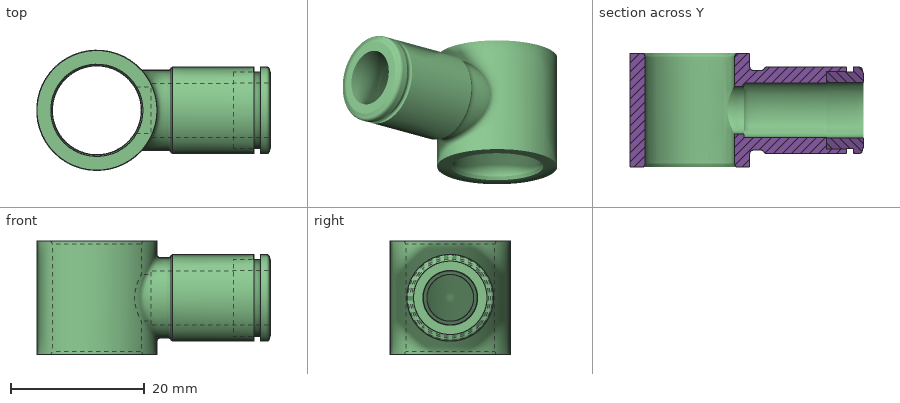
import cadquery as cq

ring_diameter = 18.0
ring_height = 17.0
ring_bore_diameter = 13.3
ring_chamfer_width = 0.25
ring_chamfer_depth = 0.5

overall_length = 35.0
arm_end = overall_length - ring_diameter / 2
neck_diameter = 12.0
neck_fillet = 0.5
socket_diameter = 13.0
shoulder_start = 10.65
shoulder_arc_length = 0.5
shoulder_arc_rise = 0.3
socket_start = 11.35
socket_end = 23.5
passage_diameter = 7.0
tube_bore_diameter = 8.1
tube_stop = 8.12

button_stem_diameter = 11.5
button_bore_diameter = 8.2
button_seat_depth = 3.0
button_gap = 0.98
rim_round_length = 0.5
rim_face_length = 0.18
rim_edge_diameter = 12.0
end_face_diameter = 11.0
flange_start = socket_end + button_gap
seat_floor = socket_end - button_seat_depth


def x_cylinder(diameter, start, end):
    """Cylinder on the X axis between two stations."""
    return cq.Workplane("YZ", origin=(start, 0, 0)).circle(diameter / 2).extrude(end - start)


def make_arm():
    """Neck with a hollow, chamfered shoulder rising to the larger socket."""
    neck_radius = neck_diameter / 2
    socket_radius = socket_diameter / 2
    shoulder_arc_end = (shoulder_start + shoulder_arc_length, neck_radius + shoulder_arc_rise)
    return (
        cq.Workplane("XY")
        .moveTo(0, 0)
        .lineTo(0, neck_radius)
        .lineTo(shoulder_start, neck_radius)
        .tangentArcPoint(shoulder_arc_end, relative=False)
        .lineTo(socket_start, socket_radius)
        .lineTo(socket_end, socket_radius)
        .lineTo(socket_end, 0)
        .close()
        .revolve(360, (0, 0, 0), (1, 0, 0))
    )


def make_housing():
    """Ring and arm in one piece, with the fluid passage, tube bore and button seat."""
    ring = cq.Workplane("XY").circle(ring_diameter / 2).extrude(ring_height / 2, both=True)
    body = ring.union(make_arm())

    margin = neck_fillet / 2
    zone_height = neck_diameter / 2 + margin
    joint_zone = cq.selectors.BoxSelector(
        (0, -ring_diameter, -zone_height),
        (shoulder_start - margin, ring_diameter, zone_height),
    )
    body = body.edges(joint_zone).edges("not(|Z or #Z)").fillet(neck_fillet)

    bore = cq.Workplane("XY").circle(ring_bore_diameter / 2).extrude(ring_height / 2, both=True)
    body = body.cut(bore)
    bore_rims = cq.selectors.RadiusNthSelector(0)
    body = body.faces("<Z or >Z").edges(bore_rims).chamfer(ring_chamfer_width, ring_chamfer_depth)

    body = body.cut(x_cylinder(passage_diameter, 0, tube_stop))
    body = body.cut(x_cylinder(tube_bore_diameter, tube_stop, socket_end))
    return body.cut(x_cylinder(button_stem_diameter, seat_floor, socket_end))


def make_button():
    """Stem and rounded flange, bored through for the tube."""
    stem_radius = button_stem_diameter / 2
    flange_radius = socket_diameter / 2
    rim_edge = arm_end - rim_face_length
    rim_start = rim_edge - rim_round_length
    button = (
        cq.Workplane("XY")
        .moveTo(seat_floor, 0)
        .lineTo(seat_floor, stem_radius)
        .lineTo(flange_start, stem_radius)
        .lineTo(flange_start, flange_radius)
        .lineTo(rim_start, flange_radius)
        .tangentArcPoint((rim_edge, rim_edge_diameter / 2), relative=False)
        .lineTo(arm_end, end_face_diameter / 2)
        .lineTo(arm_end, 0)
        .close()
        .revolve(360, (0, 0, 0), (1, 0, 0))
    )
    return button.cut(x_cylinder(button_bore_diameter, seat_floor, arm_end))


housing = make_housing()
button = make_button()
result = cq.Compound.makeCompound([housing.val(), button.val()])